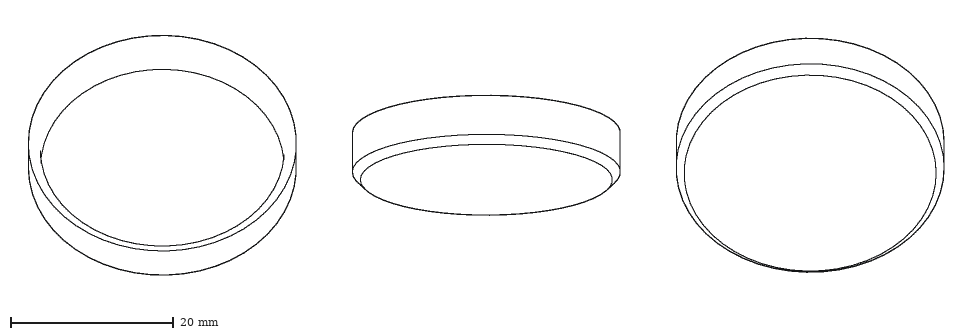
import cadquery as cq

outer_diameter = 33.0
inner_diameter = 30.0
height = 6.0
floor_thickness = 1.0
base_chamfer = 1.0

outer_radius = outer_diameter / 2
inner_radius = inner_diameter / 2
rim_radius = outer_radius - inner_radius
rim_start = height - rim_radius
diagonal = 0.5 ** 0.5

profile = (
    cq.Workplane("XZ")
    .lineTo(outer_radius - base_chamfer, 0)
    .lineTo(outer_radius, base_chamfer)
    .lineTo(outer_radius, height)
    .threePointArc(
        (outer_radius - rim_radius * diagonal, rim_start + rim_radius * diagonal),
        (inner_radius, rim_start),
    )
    .lineTo(inner_radius, floor_thickness)
    .lineTo(0, floor_thickness)
    .close()
)

result = profile.revolve(360, (0, 0, 0), (0, 1, 0))